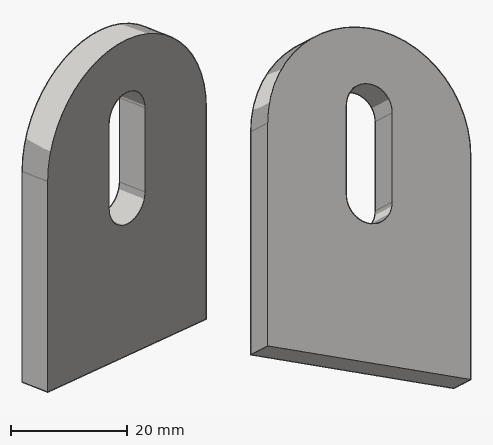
import cadquery as cq

thickness = 6.0
width = 40.0
height = 60.0
slot_width = 9.0
slot_length = 25.0
slot_top_margin = 10.0

half_width = width / 2
shoulder_height = height - half_width
slot_center_height = height - slot_top_margin - slot_length / 2


def make_plate():
    """Flat plate with a square base and a full-round top, centred on X and Y."""
    return (
        cq.Workplane("YZ")
        .moveTo(-half_width, 0)
        .lineTo(half_width, 0)
        .lineTo(half_width, shoulder_height)
        .threePointArc((0, height), (-half_width, shoulder_height))
        .close()
        .extrude(thickness / 2, both=True)
    )


def make_slot():
    """Upright round-ended slot that passes through the plate thickness."""
    upright = 90
    return (
        cq.Workplane("YZ")
        .center(0, slot_center_height)
        .slot2D(slot_length, slot_width, upright)
        .extrude(thickness, both=True)
    )


result = make_plate().cut(make_slot())